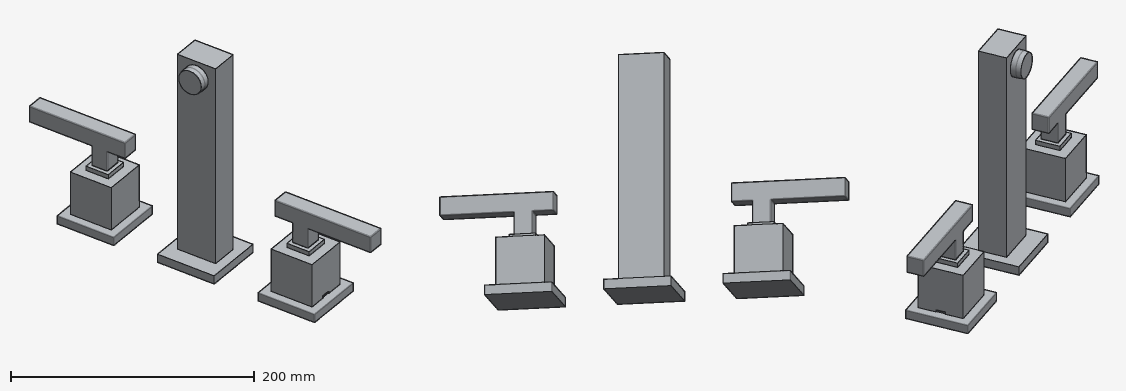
import cadquery as cq

overall_length = 340.2
plate_side = 56.5
plate_height = 8.0
handle_spacing = 100.0

spout_width = 38.0
spout_depth = 25.5
spout_top = 201.0
nozzle_height = 185.5
nozzle_diameter = 23.5
nozzle_tip_diameter = 22.5
nozzle_neck_reach = 17.7
nozzle_reach = 22.0

plate_rounding = 0.5
block_side = 40.8
block_top = 50.0
notch_width = 8.0
notch_height = 1.7
notch_depth = 0.7
collar_side = 22.0
collar_top = 54.0
stem_side = 15.5
lever_bottom = 73.5
lever_top = 89.5
lever_length = 95.5
lever_rounding = 0.7


def box_between(width, depth, bottom, top):
    """Box centred on the Z axis between two heights."""
    return (
        cq.Workplane("XY")
        .workplane(offset=bottom)
        .rect(width, depth)
        .extrude(top - bottom)
    )


def base_plate():
    return box_between(plate_side, plate_side, 0, plate_height)


def make_nozzle():
    """Round outlet on the -Y face of the spout: a straight neck with a slightly tapered tip."""
    half_section = (
        cq.Workplane("XY")
        .polyline(
            [
                (0, 0),
                (nozzle_diameter / 2, 0),
                (nozzle_diameter / 2, -nozzle_neck_reach),
                (nozzle_tip_diameter / 2, -nozzle_reach),
                (0, -nozzle_reach),
            ]
        )
        .close()
    )
    return half_section.revolve(360, (0, 0, 0), (0, 1, 0)).translate((0, 0, nozzle_height))


def make_spout():
    column = box_between(spout_width, spout_depth, plate_height, spout_top)
    return base_plate().union(column).union(make_nozzle())


def make_lever(side):
    """T-shaped lever with all its edges softened, reaching outward on the given side."""
    stem = box_between(stem_side, stem_side, collar_top, lever_bottom)
    lever_end = overall_length / 2 - handle_spacing
    arm = box_between(lever_length, stem_side, lever_bottom, lever_top).translate(
        (side * (lever_end - lever_length / 2), 0, 0)
    )
    return stem.union(arm).clean().edges().fillet(lever_rounding)


def make_block(side):
    """Square block with its notch on the given side."""
    block = box_between(block_side, block_side, plate_height, block_top)
    notch_top = plate_height + notch_height
    notch = box_between(2 * notch_depth, notch_width, plate_height, notch_top)
    return block.cut(notch.translate((side * block_side / 2, 0, 0)))


def make_handle(side):
    """Handle on the given side: -1 for left, +1 for right."""
    plate = base_plate().edges("|Z or >Z").fillet(plate_rounding)
    collar = box_between(collar_side, collar_side, block_top, collar_top)
    handle = plate.union(make_block(side)).union(collar).union(make_lever(side))
    return handle.translate((side * handle_spacing, 0, 0))


spout = make_spout()
handles = [make_handle(side) for side in (-1, 1)]

result = cq.Compound.makeCompound([spout.val(), *[handle.val() for handle in handles]])